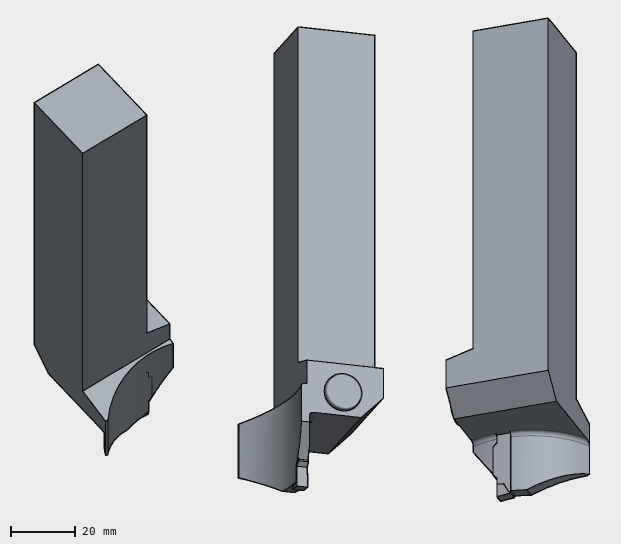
import cadquery as cq
import math

length = 152.4
shank = 25.0
head_width = 36.7
head_depth = 34.0
ramp_slope = math.tan(math.radians(15))

head_bottom = 21.6
side_ramp_top = 31.1
back_ramp_top = 41.1
corner_chamfer = 7.3

outer_middle_y = 25.9
inner_middle_y = 23.6
outer_left = 25.8
inner_left = 22.1
outer_end_y = 0.9
blade_bottom = 1.4
blade_toe_y = 15.8
blade_front_z = 10.5
blade_back_z = 18.3
root_fillet = 1.4

insert_front = 20.7
insert_back = 25.3
bulge_back = 26.7
bulge_bottom = 8.0
bulge_top = 17.7
bulge_slope = 1.4
insert_right = 25.5
tip_overhang = 0.2
tip_height = 4.4
tip_knee_y = 23.0
tip_knee_z = 4.1
tip_foot_y = 21.6
tip_foot_z = 1.5
tip_relief = 0.5

screw_diameter = 11.9
screw_x = 13.4
screw_z = 29.1
screw_height = 1.5
screw_fillet = 0.3


def arc_radius(left, middle_y, end_y):
    """Radius of the arc whose leftmost point is at middle_y and that ends at the head corner."""
    reach = head_width - left
    drop = middle_y - end_y
    return (reach**2 + drop**2) / (2 * reach)


outer_radius = arc_radius(outer_left, outer_middle_y, outer_end_y)
inner_radius = arc_radius(inner_left, inner_middle_y, 0)


def upright_cylinder(left, middle_y, radius):
    """Full-length cylinder that follows one of the blade arcs."""
    return cq.Workplane("XY").center(left + radius, middle_y).circle(radius).extrude(length)


outer_cylinder = upright_cylinder(outer_left, outer_middle_y, outer_radius)
inner_cylinder = upright_cylinder(inner_left, inner_middle_y, inner_radius)


def side_profile(points, left, right):
    """Extrude a (Y, Z) outline from X = left to X = right."""
    return cq.Workplane("YZ").workplane(offset=left).polyline(points).close().extrude(right - left)


def make_shank_and_head():
    ramp_drop = (head_width - shank) * ramp_slope
    front_outline = [
        (0, length),
        (shank, length),
        (shank, side_ramp_top),
        (head_width, side_ramp_top - ramp_drop),
        (head_width, head_bottom),
        (corner_chamfer, head_bottom),
        (0, head_bottom + corner_chamfer),
    ]
    body = cq.Workplane("XZ").polyline(front_outline).close().extrude(-head_depth)
    back_ramp_drop = (head_depth - shank) * ramp_slope
    side_outline = [
        (0, 0),
        (head_depth, 0),
        (head_depth, back_ramp_top - back_ramp_drop),
        (shank, back_ramp_top),
        (shank, length),
        (0, length),
    ]
    body = body.intersect(side_profile(side_outline, 0, head_width))
    return body.cut(outer_cylinder)


def make_blade():
    outline = [
        (0, head_bottom),
        (0, blade_front_z),
        (blade_toe_y, blade_bottom),
        (insert_back, blade_bottom),
        (insert_back, bulge_bottom - bulge_slope),
        (head_depth, blade_back_z),
        (head_depth, head_bottom),
    ]
    band = inner_cylinder.cut(outer_cylinder)
    return side_profile(outline, inner_left, head_width).intersect(band)


def insert_outline():
    return [
        (insert_front, tip_relief),
        (insert_back, 0),
        (insert_back, bulge_bottom - bulge_slope),
        (bulge_back, bulge_bottom),
        (bulge_back, bulge_top),
        (insert_back, bulge_top + bulge_slope),
        (insert_back, head_bottom),
        (insert_front, head_bottom),
    ]


def make_screw_head():
    disc = (
        cq.Workplane("XZ", origin=(screw_x, head_depth, screw_z))
        .circle(screw_diameter / 2)
        .extrude(-screw_height)
    )
    return disc.faces(">Y").edges().fillet(screw_fillet)


def make_holder():
    body = make_shank_and_head().union(make_blade())
    pick_margin = 0.2
    root = cq.selectors.BoxSelector(
        (inner_left - pick_margin, 0, head_bottom - pick_margin),
        (head_width, head_depth, head_bottom + pick_margin),
        boundingbox=False,
    )
    body = body.edges(root).edges("%CIRCLE").fillet(root_fillet)
    pocket = side_profile(insert_outline(), inner_left - root_fillet, insert_right)
    return body.cut(pocket).union(make_screw_head())


def make_insert():
    bar = side_profile(insert_outline(), inner_left, insert_right)
    tip_points = [
        (insert_back, 0),
        (insert_back, tip_height),
        (tip_knee_y, tip_knee_z),
        (tip_foot_y, tip_foot_z),
        (insert_front, tip_relief),
    ]
    return bar.union(side_profile(tip_points, inner_left - tip_overhang, insert_right))


holder = make_holder()
insert = make_insert()
result = cq.Compound.makeCompound([holder.solids().val(), insert.solids().val()])